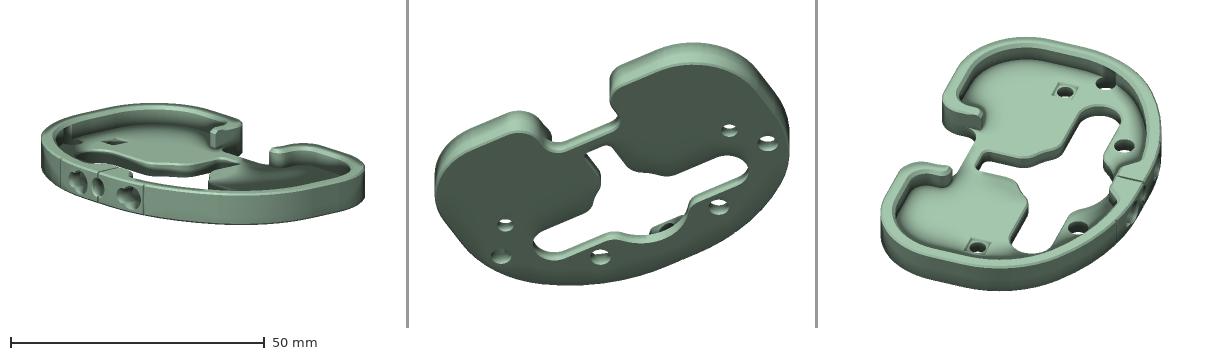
import cadquery as cq
import math

length = 71.1
width = 46.7
height = 6.5
half_length = length / 2
rear_y = width / 2
front_y = -width / 2

shoulder_radius = 14.5
side_front_y = 1.85
side_radius = 21.7
front_flat_half = 3.55
outer_chamfer = 0.35

notch_half_width = 8.25
notch_floor_y = 13.8
hook_tip_radius = 4.85
notch_fillet = 3.2

floor_z = 2.8
rim_width = 2.9
hook_width = 2.85
hook_inner_radius = 3.55
hook_end_radius = 1.85
rim_chamfer = 0.65

boss_rear_y = -17.2
boss_half_width = 3.5
boss_flank_angle = 45.0
boss_corner_radius = 1.1
boss_valley_radius = 1.8

window_y = -7.0
slot_half_length = 23.9
slot_radius = 4.3
opening_radius = 9.45
keyway_half_width = 3.1
keyway_rear_y = 11.1
keyway_corner_radius = 1.4
window_blend = 3.9
window_chamfer = 0.35

pocket_x = 25.45
pocket_y = 2.3
pocket_size = 4.4
pocket_bottom_size = 3.8
pocket_depth = 0.35
pocket_hole_diameter = 3.3
round_hole_diameter = 4.05
front_hole_x = 13.45
front_hole_y = -14.45
side_hole_x = 30.3
side_hole_y = -4.5

boss_bore_z = 3.3
boss_bore_diameter = 3.6
boss_bore_mouth_chamfer = 0.2
boss_bore_end_y = -16.7
port_z = 3.1
port_end_y = -19.5
port_main_xs = (-5.55, 9.7)
port_main_diameter = 4.85
port_side_offset = 2.4
port_side_diameter = 3.1

center_groove_depth = 0.35
side_groove_depth = 0.3
center_groove_width = 0.6
side_groove_width = 0.4
side_groove_x = 12.7


def block(x_min, x_max, y_min, y_max, z_min, z_max):
    """Axis-aligned box given by its limits."""
    return cq.Workplane("XY").box(
        x_max - x_min, y_max - y_min, z_max - z_min, centered=False
    ).translate((x_min, y_min, z_min))


def bore(x, z, diameter, end_y):
    """Blind bore along Y, from the front face back to end_y."""
    return (
        cq.Workplane("XZ", origin=(x, front_y, z))
        .circle(diameter / 2)
        .extrude(front_y - end_y)
    )


def flare_top(cutter, size):
    """Widen the top of a cutter by 45 degrees so that it leaves a chamfered edge."""
    start = cutter.faces(">Z").wires().val().translate(cq.Vector(0, 0, -size))
    flare = cq.Workplane("XY").add(start).toPending().extrude(size, taper=-45)
    return cutter.union(flare)


def round_hole(x, y, top_z):
    """Cutter for a round hole from the underside up to top_z."""
    return cq.Workplane("XY").center(x, y).circle(round_hole_diameter / 2).extrude(top_z)


def outline():
    """Closed outline without the notch: straight sides, round shoulders, bulging front."""
    side_center = (half_length - side_radius, side_front_y)
    center_gap = side_center[0] - front_flat_half
    rise = side_front_y - front_y
    front_radius = (center_gap**2 + rise**2 - side_radius**2) / (2 * (rise - side_radius))
    front_center = (front_flat_half, front_y + front_radius)

    join_angle = math.atan2(side_center[1] - front_center[1], side_center[0] - front_center[0])
    side_angle = join_angle / 2
    front_angle = (join_angle - math.pi / 2) / 2

    def on_arc(center, radius, angle):
        return (center[0] + radius * math.cos(angle), center[1] + radius * math.sin(angle))

    def mirrored(point):
        return (-point[0], point[1])

    join = on_arc(side_center, side_radius, join_angle)
    side_middle = on_arc(side_center, side_radius, side_angle)
    front_middle = on_arc(front_center, front_radius, front_angle)

    shoulder_center = (half_length - shoulder_radius, rear_y - shoulder_radius)
    shoulder_middle = on_arc(shoulder_center, shoulder_radius, math.pi / 4)

    side_start = (half_length, side_front_y)
    side_end = (half_length, shoulder_center[1])
    rear_end = (shoulder_center[0], rear_y)

    return (
        cq.Workplane("XY")
        .moveTo(-front_flat_half, front_y)
        .lineTo(front_flat_half, front_y)
        .threePointArc(front_middle, join)
        .threePointArc(side_middle, side_start)
        .lineTo(*side_end)
        .threePointArc(shoulder_middle, rear_end)
        .lineTo(*mirrored(rear_end))
        .threePointArc(mirrored(shoulder_middle), mirrored(side_end))
        .lineTo(*mirrored(side_start))
        .threePointArc(mirrored(side_middle), mirrored(join))
        .threePointArc(mirrored(front_middle), (-front_flat_half, front_y))
        .close()
    )


def vertical_edges_near(solid, x, y):
    """Vertical edges at (x, y) and (-x, y)."""
    reach = 0.1
    boxes = [
        cq.selectors.BoxSelector(
            (center_x - reach, y - reach, -height),
            (center_x + reach, y + reach, 2 * height),
        )
        for center_x in (-x, x)
    ]
    return solid.edges("|Z").edges(boxes[0] + boxes[1])


def make_body():
    """Solid plate with the rear notch and chamfered outer edges."""
    body = outline().extrude(height)
    body = body.cut(
        block(-notch_half_width, notch_half_width, notch_floor_y, rear_y, 0, height)
    )
    body = vertical_edges_near(body, notch_half_width, rear_y).fillet(hook_tip_radius)
    body = vertical_edges_near(body, notch_half_width, notch_floor_y).fillet(notch_fillet)
    return body.faces("<Z or >Z").chamfer(outer_chamfer)


def make_cavity():
    """Space inside the rim, flared at the top to chamfer the rim's inner edge."""
    depth = height - floor_z
    cavity = outline().offset2D(-rim_width).extrude(depth)

    hook_inner_x = notch_half_width + hook_width
    cavity = cavity.cut(
        block(-hook_inner_x, hook_inner_x, notch_floor_y, rear_y, 0, depth)
    )

    flank_run = (boss_rear_y - front_y) / math.tan(math.radians(boss_flank_angle))
    boss = (
        cq.Workplane("XY")
        .polyline([
            (-boss_half_width, boss_rear_y),
            (boss_half_width, boss_rear_y),
            (boss_half_width + flank_run, front_y),
            (-boss_half_width - flank_run, front_y),
        ])
        .close()
        .extrude(depth)
    )
    cavity = cavity.cut(boss)

    cavity = vertical_edges_near(cavity, hook_inner_x, rear_y - rim_width).fillet(hook_inner_radius)
    cavity = vertical_edges_near(cavity, hook_inner_x, notch_floor_y).fillet(hook_end_radius)
    cavity = vertical_edges_near(cavity, boss_half_width, boss_rear_y).fillet(boss_corner_radius)
    cavity = cavity.edges("|Z").edges("<Y").fillet(boss_valley_radius)

    return flare_top(cavity, rim_chamfer).translate((0, 0, floor_z))


def make_window():
    """Opening through the floor: slot, round opening and keyway blended together."""
    slot = (
        cq.Workplane("XY")
        .center(0, window_y)
        .slot2D(2 * slot_half_length, 2 * slot_radius)
        .extrude(floor_z)
    )
    opening = cq.Workplane("XY").center(0, window_y).circle(opening_radius).extrude(floor_z)
    keyway = block(-keyway_half_width, keyway_half_width, window_y, keyway_rear_y, 0, floor_z)
    keyway = keyway.edges("|Z and >Y").fillet(keyway_corner_radius)
    window = slot.union(opening).union(keyway)

    slot_meet_x = math.sqrt(opening_radius**2 - slot_radius**2)
    keyway_meet_y = window_y + math.sqrt(opening_radius**2 - keyway_half_width**2)
    for x, y in (
        (slot_meet_x, window_y - slot_radius),
        (slot_meet_x, window_y + slot_radius),
        (keyway_half_width, keyway_meet_y),
    ):
        window = vertical_edges_near(window, x, y).fillet(window_blend)

    return flare_top(window, window_chamfer)


def make_square_pocket():
    """Shallow square recess with sloping walls around a through hole."""
    recess = (
        cq.Workplane("XY", origin=(0, 0, floor_z - pocket_depth))
        .rect(pocket_bottom_size, pocket_bottom_size)
        .workplane(offset=pocket_depth)
        .rect(pocket_size, pocket_size)
        .loft()
    )
    hole = cq.Workplane("XY").circle(pocket_hole_diameter / 2).extrude(floor_z)
    return recess.union(hole)


def make_boss_bore():
    """Blind bore in the boss with a chamfered mouth."""
    hole = bore(0, boss_bore_z, boss_bore_diameter, boss_bore_end_y)
    mouth_diameter = boss_bore_diameter + 2 * boss_bore_mouth_chamfer
    cone = (
        cq.Workplane("XZ", origin=(0, front_y, boss_bore_z))
        .circle(mouth_diameter / 2)
        .extrude(-boss_bore_mouth_chamfer, taper=45)
    )
    return hole.union(cone)


def make_center_groove():
    """Groove along the top of the boss and down the front of the rim."""
    half = center_groove_width / 2
    top = block(-half, half, front_y, boss_rear_y, height - center_groove_depth, height)
    front = block(-half, half, front_y, front_y + center_groove_depth, 0, height)
    return top.union(front)


def make_side_groove():
    """Upright groove across the front of the rim, cut square to the surface."""
    rim_band = outline().extrude(height).cut(outline().offset2D(-side_groove_depth).extrude(height))
    strip = block(
        side_groove_x - side_groove_width / 2,
        side_groove_x + side_groove_width / 2,
        front_y, 0, 0, height,
    )
    return rim_band.intersect(strip)


result = make_body().cut(make_cavity())
result = result.cut(
    block(-notch_half_width, notch_half_width, notch_floor_y, rear_y, floor_z, height)
)
result = result.cut(make_window())

for side in (-1, 1):
    result = result.cut(make_square_pocket().translate((side * pocket_x, pocket_y, 0)))
    result = result.cut(round_hole(side * front_hole_x, front_hole_y, floor_z))
    result = result.cut(round_hole(side * side_hole_x, side_hole_y, height - rim_chamfer))

for main_x in port_main_xs:
    result = result.cut(bore(main_x, port_z, port_main_diameter, port_end_y))
    result = result.cut(bore(main_x - port_side_offset, port_z, port_side_diameter, port_end_y))

result = result.cut(make_boss_bore())
result = result.cut(make_center_groove())
side_groove = make_side_groove()
result = result.cut(side_groove).cut(side_groove.mirror("YZ"))